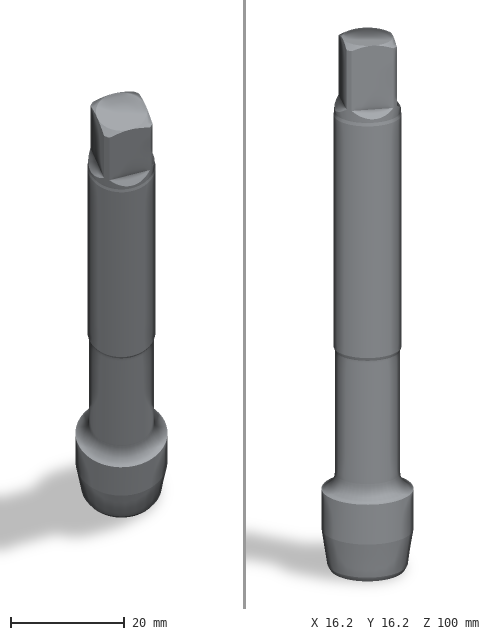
import cadquery as cq
import math

total_length = 100.0

head_diameter = 16.2
head_length = 15.0
lead_length = 7.5
lead_end_diameter = 14.2
tip_diameter = 13.2
tip_chamfer_height = 0.9

neck_diameter = 11.5
neck_fillet_top = 18.0
neck_top = 41.2
shank_diameter = 12.0
step_height = 0.6
shank_top = 85.4
drive_diameter = 11.7

square_width = 9.0
square_length = 12.0
shoulder_angle = 45.0
end_chamfer_angle = 30.0

head_radius = head_diameter / 2
neck_radius = neck_diameter / 2
shank_radius = shank_diameter / 2
drive_radius = drive_diameter / 2
square_half = square_width / 2
square_bottom = total_length - square_length


def make_cutting_head():
    """Cylindrical head with a tapered lead and a chamfered tip."""
    return (
        cq.Workplane("XZ")
        .moveTo(0, 0)
        .lineTo(tip_diameter / 2, 0)
        .lineTo(lead_end_diameter / 2, tip_chamfer_height)
        .lineTo(head_radius, lead_length)
        .lineTo(head_radius, head_length)
        .lineTo(0, head_length)
        .close()
        .revolve(360, (0, 0, 0), (0, 1, 0))
    )


def make_round_shank():
    """Turned shank: flared neck, main shank and chamfered drive end."""
    flare_width = head_radius - neck_radius
    flare_height = neck_fillet_top - head_length
    flare_radius = (flare_width**2 + flare_height**2) / (2 * flare_width)
    half_sweep = math.asin(flare_height / flare_radius) / 2
    flare_middle = (
        neck_radius + flare_radius * (1 - math.cos(half_sweep)),
        neck_fillet_top - flare_radius * math.sin(half_sweep),
    )

    end_drop = (drive_radius - square_half) * math.tan(math.radians(end_chamfer_angle))

    return (
        cq.Workplane("XZ")
        .moveTo(0, head_length)
        .lineTo(head_radius, head_length)
        .threePointArc(flare_middle, (neck_radius, neck_fillet_top))
        .lineTo(neck_radius, neck_top)
        .lineTo(shank_radius, neck_top + step_height)
        .lineTo(shank_radius, shank_top)
        .lineTo(drive_radius, shank_top + step_height)
        .lineTo(drive_radius, total_length - end_drop)
        .lineTo(square_half, total_length)
        .lineTo(0, total_length)
        .close()
        .revolve(360, (0, 0, 0), (0, 1, 0))
    )


def make_flat_cutter():
    """Material beside one flat of the square, with a sloping shoulder below it."""
    outer = head_radius
    shoulder_drop = (outer - square_half) * math.tan(math.radians(shoulder_angle))
    return (
        cq.Workplane("XZ")
        .moveTo(square_half, square_bottom)
        .lineTo(outer, square_bottom - shoulder_drop)
        .lineTo(outer, total_length)
        .lineTo(square_half, total_length)
        .close()
        .extrude(head_radius, both=True)
    )


def make_shank():
    """Round shank with four flats forming the square drive."""
    shank = make_round_shank()
    flat_cutter = make_flat_cutter()
    for angle in (0, 90, 180, 270):
        shank = shank.cut(flat_cutter.rotate((0, 0, 0), (0, 0, 1), angle))
    return shank


cutting_head = make_cutting_head()
shank = make_shank()

result = cq.Compound.makeCompound([cutting_head.val(), *shank.solids().vals()])